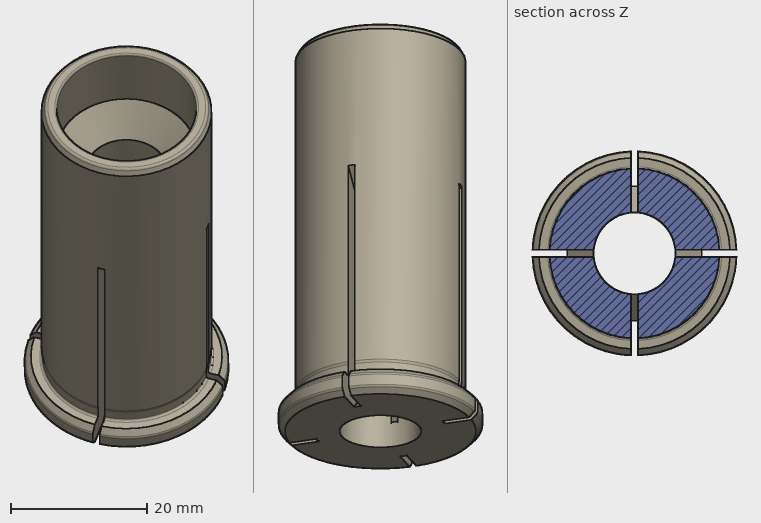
import cadquery as cq

length = 60.0
sleeve_radius = 25.0 / 2
bore_radius = 12.0 / 2

socket_radius = 20.5 / 2
socket_floor_z = 50.0
cone_bottom_z = socket_floor_z - (socket_radius - bore_radius)
socket_lip_fillet = 0.3

lead_in_width = 0.6
lead_in_height = 1.0
lead_in_fillet = 0.55

flange_radius = 15.0
flange_height = 3.95
flange_chamfer = 0.95
flange_edge_fillet = 0.5

relief_radius = 12.4
relief_bottom_taper_z = 5.8
relief_top_z = 6.25
relief_root_fillet = 0.35

slot_count = 4
slot_width = 1.0
slot_outer_top_z = 37.5
slot_inner_bottom_z = 3.9
slot_overrun = 0.6


def edges_at(radius, z):
    """Select the circular edges of the given radius and height around the axis."""
    margin = 0.03
    outer = cq.selectors.BoxSelector(
        (-radius - margin, -radius - margin, z - margin),
        (radius + margin, radius + margin, z + margin),
        boundingbox=True,
    )
    inner = cq.selectors.BoxSelector(
        (-radius + margin, -radius + margin, z - margin),
        (radius - margin, radius - margin, z + margin),
        boundingbox=True,
    )
    return outer - inner


def make_body():
    """Revolve the sleeve, then round its lips, chamfer corners and flange root."""
    flange_face_radius = flange_radius - flange_chamfer
    flange_upper_z = flange_height - flange_chamfer
    lead_in_radius = sleeve_radius - lead_in_width
    profile = [
        (bore_radius, 0),
        (flange_face_radius, 0),
        (flange_radius, flange_chamfer),
        (flange_radius, flange_upper_z),
        (flange_face_radius, flange_height),
        (relief_radius, flange_height),
        (relief_radius, relief_bottom_taper_z),
        (sleeve_radius, relief_top_z),
        (sleeve_radius, length - lead_in_height),
        (lead_in_radius, length),
        (socket_radius, length),
        (socket_radius, socket_floor_z),
        (bore_radius, cone_bottom_z),
    ]
    body = cq.Workplane("XZ").polyline(profile).close().revolve(360, (0, 0), (0, 1))
    fillets = [
        (flange_radius, flange_chamfer, flange_edge_fillet),
        (flange_radius, flange_upper_z, flange_edge_fillet),
        (relief_radius, flange_height, relief_root_fillet),
        (lead_in_radius, length, lead_in_fillet),
        (socket_radius, length, socket_lip_fillet),
    ]
    for radius, z, fillet_radius in fillets:
        body = body.edges(edges_at(radius, z)).fillet(fillet_radius)
    return body


def make_slot():
    """Cutter for the slot on the +X side; its sloped ends run past both surfaces."""
    inner_x = bore_radius - slot_overrun
    outer_x = flange_radius + slot_overrun
    inner_bottom_z = slot_inner_bottom_z + slot_overrun
    inner_top_z = slot_outer_top_z - (sleeve_radius - inner_x)
    run = outer_x - inner_x
    outline = [
        (inner_x, inner_bottom_z),
        (outer_x, inner_bottom_z - run),
        (outer_x, inner_top_z + run),
        (inner_x, inner_top_z),
    ]
    return cq.Workplane("XZ").polyline(outline).close().extrude(slot_width / 2, both=True)


result = make_body()
slot = make_slot()
for index in range(slot_count):
    result = result.cut(slot.rotate((0, 0, 0), (0, 0, 1), index * 360 / slot_count))